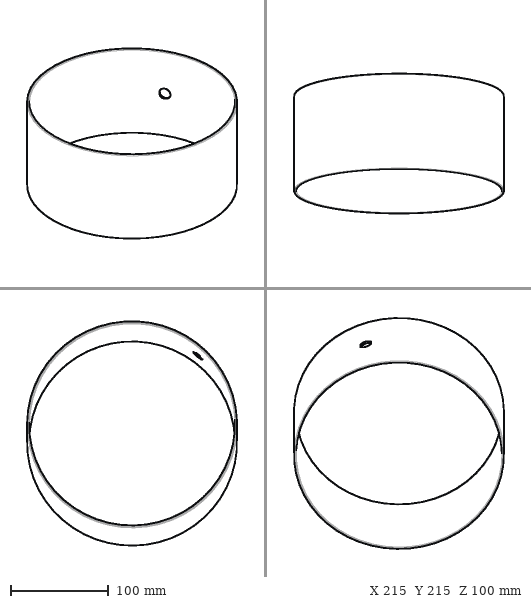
import cadquery as cq

outer_diameter = 215.0
height = 100.0
wall = 2.4
rim_fillet = 0.9
hole_diameter = 12.0

outer_radius = outer_diameter / 2


def make_ring():
    """Thin tube standing on Z = 0 with all four rim edges rounded."""
    tube = cq.Workplane("XY").circle(outer_radius).circle(outer_radius - wall).extrude(height)
    return tube.faces("<Z or >Z").edges().fillet(rim_fillet)


def make_hole_cutter():
    """Radial pin at mid-height that reaches only the +Y wall."""
    return (
        cq.Workplane("XZ")
        .center(0, height / 2)
        .circle(hole_diameter / 2)
        .extrude(-outer_diameter)
    )


result = make_ring().cut(make_hole_cutter())